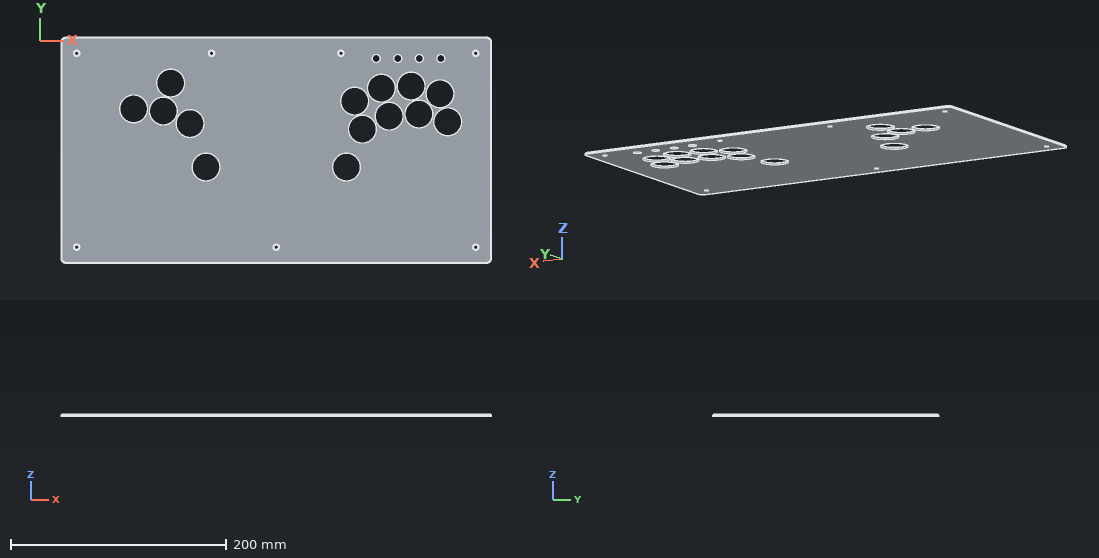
import cadquery as cq

length = 400.0
width = 210.0
thickness = 2.0
corner_radius = 5.0
edge_chamfer = 1.0

button_diameter = 25.5
thumb_x = 65.0
thumb_y = -15.5
direction_buttons = [(-132.5, 38.5), (-105.0, 36.5), (-80.0, 25.0), (-98.0, 62.5)]
upper_action_buttons = [(73.0, 45.5), (97.5, 57.5), (125.0, 59.5), (152.0, 52.5)]
action_row_shift_x = 7.0
action_row_shift_y = -26.0

option_diameter = 7.0
option_count = 4
option_pitch = 20.0
option_first_x = 93.0
option_y = 85.0

screw_diameter = 4.0
screw_head_diameter = 6.0
countersink_angle = 90.0
screw_corner_x = 185.0
screw_inner_x = 60.0
screw_y = 90.0


def make_panel():
    """Flat panel with rounded corners and a chamfered top edge."""
    panel = cq.Workplane("XY").box(length, width, thickness, centered=(True, True, False))
    panel = panel.edges("|Z").fillet(corner_radius)
    return panel.faces(">Z").edges().chamfer(edge_chamfer)


def top_plane(panel):
    """Workplane on the top face, centred on the panel."""
    return panel.faces(">Z").workplane(origin=(0, 0, thickness))


lower_action_buttons = [
    (x + action_row_shift_x, y + action_row_shift_y) for x, y in upper_action_buttons
]
thumb_buttons = [(-thumb_x, thumb_y), (thumb_x, thumb_y)]
buttons = direction_buttons + upper_action_buttons + lower_action_buttons + thumb_buttons

options = [(option_first_x + i * option_pitch, option_y) for i in range(option_count)]

back_screws = [(x, screw_y) for x in (-screw_corner_x, -screw_inner_x, screw_inner_x, screw_corner_x)]
front_screws = [(x, -screw_y) for x in (-screw_corner_x, 0, screw_corner_x)]

result = make_panel()
result = top_plane(result).pushPoints(buttons).hole(button_diameter)
result = top_plane(result).pushPoints(options).hole(option_diameter)
result = (
    top_plane(result)
    .pushPoints(back_screws + front_screws)
    .cskHole(screw_diameter, screw_head_diameter, countersink_angle)
)